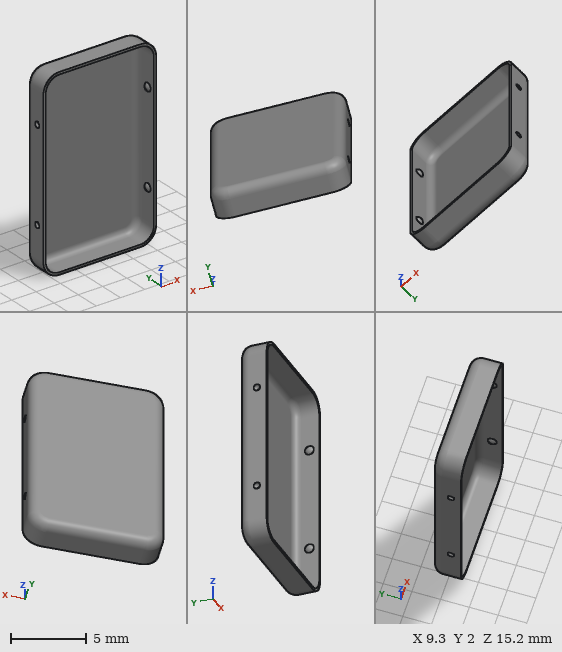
import cadquery as cq

width = 9.3
depth = 2.0
height = 15.2
wall = 0.2
corner_radius = 1.3
back_edge_radius = 0.7

bump_spacing = 7.51
bump_from_rim = 0.7
bump_radius = 0.38
dimple_radius = 0.23

rim_y = -depth / 2
bump_y = rim_y + bump_from_rim


def rounded_block(inset):
    """Block with rounded corners and back edge, inset from the outside and running back from the rim."""
    block_depth = depth - inset
    return (
        cq.Workplane("XY")
        .box(width - 2 * inset, block_depth, height - 2 * inset)
        .translate((0, rim_y + block_depth / 2, 0))
        .edges("|Y")
        .fillet(corner_radius - inset)
        .faces(">Y")
        .edges()
        .fillet(back_edge_radius - inset)
    )


def half_ball(radius, side, z):
    """Half ball bulging inward from the outer face of a long wall."""
    return (
        cq.Workplane("XY")
        .lineTo(0, -radius)
        .radiusArc((-side * radius, 0), side * radius)
        .close()
        .revolve(360, (0, 0, 0), (1, 0, 0))
        .translate((side * width / 2, bump_y, z))
    )


bump_places = [(side, z) for side in (-1, 1) for z in (-bump_spacing / 2, bump_spacing / 2)]

cavity = rounded_block(wall)
for side, z in bump_places:
    cavity = cavity.cut(half_ball(bump_radius, side, z))

result = rounded_block(0).cut(cavity)
for side, z in bump_places:
    result = result.cut(half_ball(dimple_radius, side, z))